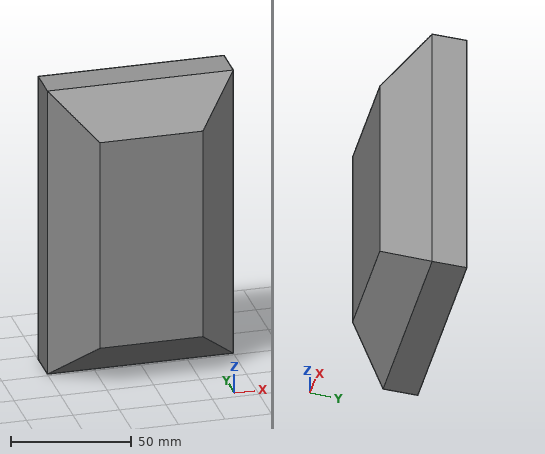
import cadquery as cq

width = 80.0
depth = 32.8
height = 130.0

bevel = 17.8

block = cq.Workplane("XY").box(width, depth, height).translate((0, -depth / 2, 0))

result = block.faces("<Y").edges().chamfer(bevel)